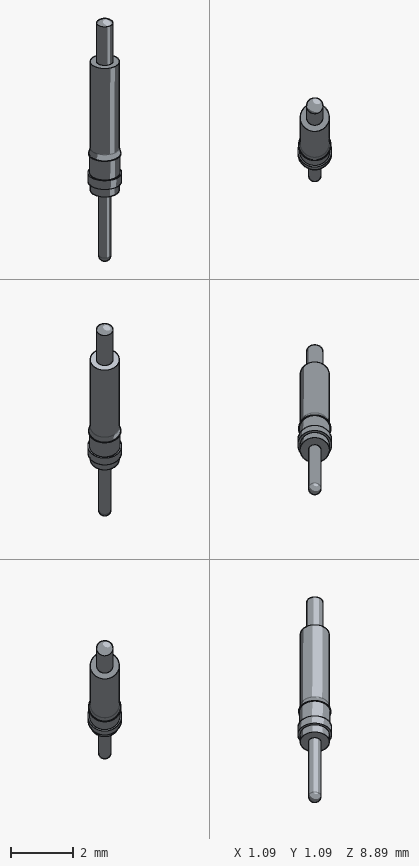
import cadquery as cq

TOTAL_HEIGHT = 8.89

PLUNGER_DIAMETER = 0.53
BARREL_DIAMETER = 0.94
SEAT_DIAMETER = 0.99
BARB_DIAMETER = 1.05
FLANGE_DIAMETER = 1.09
TAIL_DIAMETER = 0.41

BASE_BOTTOM = 2.605
FLANGE_BOTTOM = 2.925
FLANGE_TOP = 3.245
BARB_BOTTOM = 3.95
BARB_TOP = 4.16
BARREL_TOP = 7.34

DOME_HEIGHT = 0.125
PLUNGER_INSERTION = 1.78

plunger_radius = PLUNGER_DIAMETER / 2
barrel_radius = BARREL_DIAMETER / 2
seat_radius = SEAT_DIAMETER / 2
barb_radius = BARB_DIAMETER / 2
flange_radius = FLANGE_DIAMETER / 2
tail_radius = TAIL_DIAMETER / 2

plunger_bottom = BARREL_TOP - PLUNGER_INSERTION


def make_barrel():
    """Turned barrel with press-fit barb, flange, round-ended tail and a blind plunger bore."""
    tail_arc_offset = tail_radius * 0.5**0.5
    return (
        cq.Workplane("XZ")
        .moveTo(0, 0)
        .threePointArc((tail_arc_offset, tail_radius - tail_arc_offset), (tail_radius, tail_radius))
        .lineTo(tail_radius, BASE_BOTTOM)
        .lineTo(barrel_radius, BASE_BOTTOM)
        .lineTo(barrel_radius, FLANGE_BOTTOM)
        .lineTo(flange_radius, FLANGE_BOTTOM)
        .lineTo(flange_radius, FLANGE_TOP)
        .lineTo(seat_radius, FLANGE_TOP)
        .lineTo(seat_radius, BARB_BOTTOM)
        .lineTo(barb_radius, BARB_BOTTOM)
        .lineTo(barrel_radius, BARB_TOP)
        .lineTo(barrel_radius, BARREL_TOP)
        .lineTo(plunger_radius, BARREL_TOP)
        .lineTo(plunger_radius, plunger_bottom)
        .lineTo(0, plunger_bottom)
        .close()
        .revolve(360, (0, 0), (0, 1))
    )


def make_plunger():
    """Round plunger seated in the barrel bore, with a shallow spherical tip."""
    dome_bottom = TOTAL_HEIGHT - DOME_HEIGHT
    dome_radius = (plunger_radius**2 + DOME_HEIGHT**2) / (2 * DOME_HEIGHT)
    dome_center = TOTAL_HEIGHT - dome_radius
    mid_radius = plunger_radius / 2
    mid_height = dome_center + (dome_radius**2 - mid_radius**2) ** 0.5
    return (
        cq.Workplane("XZ")
        .moveTo(0, plunger_bottom)
        .lineTo(plunger_radius, plunger_bottom)
        .lineTo(plunger_radius, dome_bottom)
        .threePointArc((mid_radius, mid_height), (0, TOTAL_HEIGHT))
        .close()
        .revolve(360, (0, 0), (0, 1))
    )


barrel = make_barrel()
plunger = make_plunger()

result = cq.Compound.makeCompound([barrel.val(), plunger.val()])